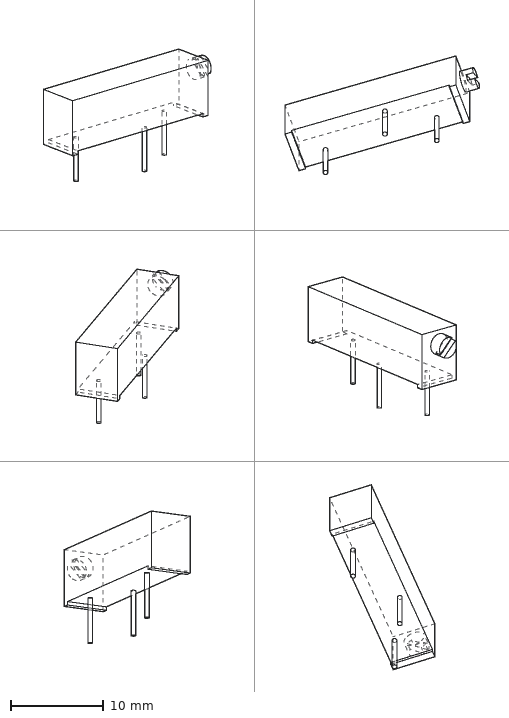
import cadquery as cq

HOUSING_WIDTH = 4.83
HOUSING_LENGTH = 19.5
HOUSING_HEIGHT = 6.35
FOOT_HEIGHT = 0.38
FOOT_LENGTH = 0.76

OVERALL_LENGTH = 21.02
SCREW_DIAMETER = 2.36
SCREW_LENGTH = OVERALL_LENGTH - HOUSING_LENGTH
SCREW_TOP_GAP = 0.46
SCREW_X = 0.0
SCREW_Z = HOUSING_HEIGHT - SCREW_TOP_GAP - SCREW_DIAMETER / 2
SLOT_WIDTH = 0.64
SLOT_DEPTH = 0.8
SLOT_ANGLE = 45

OVERALL_HEIGHT = 10.99
PIN_DIAMETER = 0.51
PIN_LENGTH = OVERALL_HEIGHT - HOUSING_HEIGHT + FOOT_HEIGHT
PIN_PITCH = 2.54
OUTER_PIN_X = -1.02
MIDDLE_PIN_X = OUTER_PIN_X + PIN_PITCH
FIRST_PIN_Y = 3.5
MIDDLE_PIN_Y = FIRST_PIN_Y + 3 * PIN_PITCH
LAST_PIN_Y = MIDDLE_PIN_Y + 2 * PIN_PITCH
PIN_CENTERS = [
    (OUTER_PIN_X, FIRST_PIN_Y),
    (MIDDLE_PIN_X, MIDDLE_PIN_Y),
    (OUTER_PIN_X, LAST_PIN_Y),
]


def make_case():
    """Rectangular case with a full-width foot at each end."""
    block = cq.Workplane("XY").box(
        HOUSING_WIDTH, HOUSING_LENGTH, HOUSING_HEIGHT, centered=(True, False, False)
    )
    underside_recess = (
        cq.Workplane("XY")
        .box(HOUSING_WIDTH, HOUSING_LENGTH - 2 * FOOT_LENGTH, FOOT_HEIGHT, centered=(True, False, False))
        .translate((0, FOOT_LENGTH, 0))
    )
    return block.cut(underside_recess)


def make_screw_head():
    """Round head along Y with a diagonal screwdriver slot across its end."""
    head = cq.Workplane("XZ").circle(SCREW_DIAMETER / 2).extrude(-SCREW_LENGTH)
    slot = (
        cq.Workplane("XZ", origin=(0, SCREW_LENGTH, 0))
        .transformed(rotate=(0, 0, -SLOT_ANGLE))
        .rect(2 * SCREW_DIAMETER, SLOT_WIDTH)
        .extrude(SLOT_DEPTH)
    )
    return head.cut(slot).translate((SCREW_X, HOUSING_LENGTH, SCREW_Z))


def make_housing():
    return make_case().union(make_screw_head())


def make_pin(x, y):
    """Round pin hanging from the recessed underside of the housing."""
    return (
        cq.Workplane("XY", origin=(x, y, FOOT_HEIGHT))
        .circle(PIN_DIAMETER / 2)
        .extrude(-PIN_LENGTH)
    )


housing = make_housing()
pins = [make_pin(x, y) for x, y in PIN_CENTERS]

result = cq.Compound.makeCompound([housing.val(), *[pin.val() for pin in pins]])